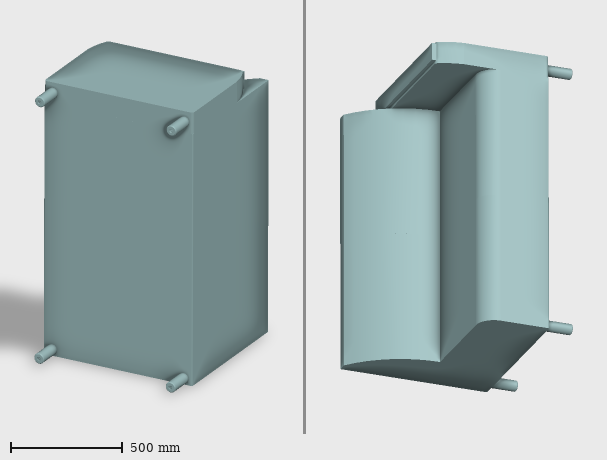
import cadquery as cq
import math

overall_width = 765.0
overall_height = 1335.0
lean_angle = 0.19
lean = math.radians(lean_angle)

width = (overall_width * math.cos(lean) - overall_height * math.sin(lean)) / math.cos(2 * lean)
height = (overall_height * math.cos(lean) - overall_width * math.sin(lean)) / math.cos(2 * lean)
total_depth = 830.0
leg_length = 123.0
column_depth = total_depth - leg_length

head_thickness = 104.0
head_depth = 532.0
head_side_depth = 409.0
head_back_inset = 36.0
head_side_bulge = 7.0
head_front_radius = 13.0
head_back_radius = 19.0

strip_left = 28.0
strip_right = 723.0
strip_thickness = 20.0
strip_edge_gap = 11.0

column_height = (height - head_thickness) / 2
shoulder_depth = 319.0
shoulder_radius = 85.0
fin_radius = 487.0
fin_base_x = 525.0
column_front_radius = 5.0

leg_diameter = 51.0
leg_chamfer = 4.0
leg_bore_diameter = 19.0
leg_bore_depth = 8.0
leg_pilot_diameter = 7.9
leg_pilot_depth = 27.0
upper_leg_z = 1282.0
lower_leg_z = 31.0
left_leg_x = 44.0
right_leg_x = 716.0


def make_column(base_z):
    """Column with a rounded shoulder and a fin whose arc is tangent to the Y direction."""
    fin_center_x = fin_base_x + fin_radius

    def fin_point(angle):
        return (
            fin_center_x - fin_radius * math.cos(angle),
            shoulder_depth + fin_radius * math.sin(angle),
        )

    tip_angle = math.asin((column_depth - shoulder_depth) / fin_radius)
    profile = (
        cq.Workplane("XY", origin=(0, 0, base_z))
        .lineTo(width, 0)
        .lineTo(width, column_depth)
        .lineTo(*fin_point(tip_angle))
        .threePointArc(fin_point(tip_angle / 2), fin_point(0))
        .lineTo(shoulder_radius, shoulder_depth)
        .radiusArc((0, shoulder_depth - shoulder_radius), -shoulder_radius)
        .close()
    )
    column = profile.extrude(column_height)
    return column.edges("|Z and <Y").fillet(column_front_radius)


def make_head():
    """Box whose sides curve inwards towards a narrower back face."""
    curve_middle_x = head_back_inset / 2 - head_side_bulge
    curve_middle_y = (head_side_depth + head_depth) / 2
    head = (
        cq.Workplane("XY", origin=(0, 0, height - head_thickness))
        .lineTo(width, 0)
        .lineTo(width, head_side_depth)
        .threePointArc((width - curve_middle_x, curve_middle_y), (width - head_back_inset, head_depth))
        .lineTo(head_back_inset, head_depth)
        .threePointArc((curve_middle_x, curve_middle_y), (0, head_side_depth))
        .close()
        .extrude(head_thickness)
    )
    head = head.edges("|Z and <Y").fillet(head_front_radius)
    return head.edges("|Z and >Y").fillet(head_back_radius)


def make_strip():
    """Flat strip lying on the back face of the head."""
    return cq.Workplane("XY").box(
        strip_right - strip_left, strip_thickness, head_thickness - 2 * strip_edge_gap, centered=False
    ).translate((strip_left, head_depth, height - head_thickness + strip_edge_gap))


def make_leg(x, z):
    """Round leg along -Y with a chamfered, stepped-bore free end."""
    leg = cq.Workplane("XZ", origin=(x, 0, z)).circle(leg_diameter / 2).extrude(leg_length)
    leg = leg.faces("<Y").chamfer(leg_chamfer)
    return leg.faces("<Y").workplane(centerOption="CenterOfBoundBox").cboreHole(
        leg_pilot_diameter, leg_bore_diameter, leg_bore_depth, leg_pilot_depth
    )


columns = [make_column(level * column_height) for level in range(2)]
head = make_head()
strip = make_strip()
legs = [make_leg(x, z) for z in (upper_leg_z, lower_leg_z) for x in (left_leg_x, right_leg_x)]

upright_bodies = columns + [head, strip] + legs
leaned_bodies = [body.rotate((0, 0, 0), (0, 1, 0), lean_angle) for body in upright_bodies]
result = cq.Compound.makeCompound([body.val() for body in leaned_bodies])